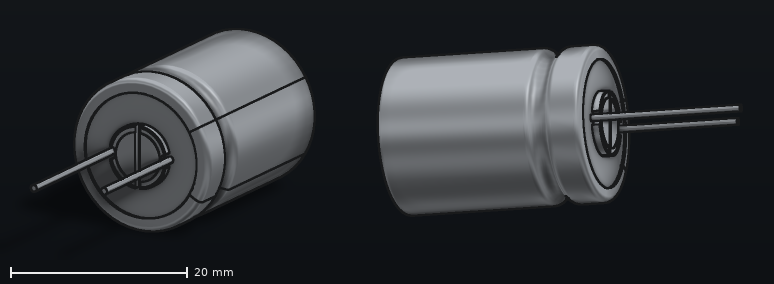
import cadquery as cq
import math

can_radius = 9.01
can_length = 24.3
core_radius = 7.35
end_fillet = 0.67
end_recess = 0.25

groove_center = 5.0
groove_half_width = 1.7
groove_depth = 0.85
groove_blend_half_width = 1.0

stripe_angle = 60.0

boss_radius = 3.75
boss_height = 0.67
boss_disc_radius = 2.9
boss_rim_width = 0.2
boss_groove_depth = 0.1
slot_width = 0.65
slot_floor = 0.15
notch_radius = 0.8

lead_radius = 0.4
lead_spacing = 7.48
long_lead_end = 42.0 - can_length
short_lead_end = 14.7
lead_specs = [(-lead_spacing / 2, long_lead_end), (lead_spacing / 2, short_lead_end)]


def cylinder(radius, y_start, y_end, x=0.0):
    """Cylinder parallel to Y between two Y positions."""
    plane = cq.Plane(origin=(x, y_start, 0), xDir=(1, 0, 0), normal=(0, 1, 0))
    return cq.Workplane(plane).circle(radius).extrude(y_end - y_start)


def make_wall_sector(start_angle, sweep_angle):
    """Sector of the can wall; angles run from +X towards +Z."""
    blend_radius = can_radius - groove_depth * (1 - groove_blend_half_width / groove_half_width)
    tangent_angle = 2 * math.atan2(groove_depth, groove_half_width)
    shoulder_width = groove_half_width - groove_blend_half_width
    shoulder_arc_radius = shoulder_width / math.sin(tangent_angle)
    shoulder_mid_drop = shoulder_arc_radius * (1 - math.cos(tangent_angle / 2))
    shoulder_mid_offset = groove_half_width - shoulder_arc_radius * math.sin(tangent_angle / 2)
    shoulder_mid_radius = can_radius - shoulder_mid_drop
    fillet_inset = end_fillet * (1 - math.sqrt(0.5))
    fillet_mid_radius = can_radius - fillet_inset

    profile = (
        cq.Workplane("XY")
        .moveTo(core_radius, 0)
        .lineTo(can_radius - end_fillet, 0)
        .threePointArc((fillet_mid_radius, fillet_inset), (can_radius, end_fillet))
        .lineTo(can_radius, groove_center - groove_half_width)
        .threePointArc(
            (shoulder_mid_radius, groove_center - shoulder_mid_offset),
            (blend_radius, groove_center - groove_blend_half_width),
        )
        .threePointArc(
            (can_radius - groove_depth, groove_center),
            (blend_radius, groove_center + groove_blend_half_width),
        )
        .threePointArc(
            (shoulder_mid_radius, groove_center + shoulder_mid_offset),
            (can_radius, groove_center + groove_half_width),
        )
        .lineTo(can_radius, can_length - end_fillet)
        .threePointArc((fillet_mid_radius, can_length - fillet_inset), (can_radius - end_fillet, can_length))
        .lineTo(core_radius, can_length)
        .close()
    )
    sector = profile.revolve(sweep_angle, (0, 0, 0), (0, -1, 0))
    return sector.rotate((0, 0, 0), (0, -1, 0), start_angle)


def make_core():
    """Core and seal with the slotted, notched boss."""
    core = cylinder(core_radius, end_recess, can_length)
    boss = cylinder(boss_radius, -boss_height, end_recess)

    groove_floor = boss_groove_depth - boss_height
    ring = cylinder(boss_radius - boss_rim_width, -boss_height, groove_floor)
    ring = ring.cut(cylinder(boss_disc_radius, -boss_height, groove_floor))
    boss = boss.cut(ring)

    slot = cq.Workplane("XY").box(slot_width, slot_floor + boss_height, 2 * boss_radius)
    boss = boss.cut(slot.translate((0, (slot_floor - boss_height) / 2, 0)))

    for lead_x, _ in lead_specs:
        boss = boss.cut(cylinder(notch_radius, -boss_height, end_recess, lead_x))
    return core.union(boss)


def make_lead(lead_x, length):
    """Round lead standing on the seal face."""
    return cylinder(lead_radius, -length, end_recess, lead_x)


sleeve = make_wall_sector(stripe_angle / 2, 360 - stripe_angle)
stripe = make_wall_sector(-stripe_angle / 2, stripe_angle)
core = make_core()
leads = [make_lead(lead_x, length) for lead_x, length in lead_specs]

result = cq.Compound.makeCompound(
    [sleeve.val(), stripe.val(), core.val(), *[lead.val() for lead in leads]]
)